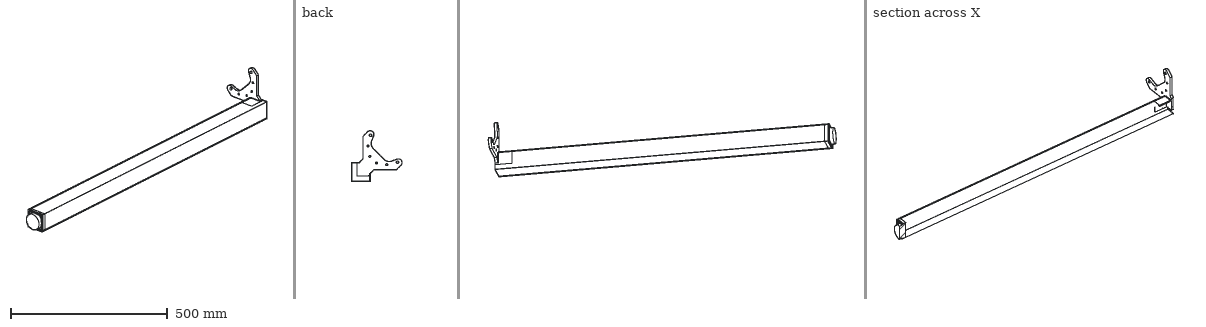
import cadquery as cq
import math

total_length = 1100.0
tube_side = 60.0
wall = 2.0
half_side = tube_side / 2
inner_side = tube_side - 2 * wall

foot_height = 11.0
foot_diameter = 54.0
flange_thickness = 4.0
recess_side = 51.0
recess_depth = 3.0
foot_plug_length = 11.0
tube_length = total_length - foot_height - flange_thickness

plate_thickness = 9.0
angle_length = 55.0
angle_leg = 41.0
angle_thickness = 4.0
overall_width = 162.0
lobe_radius = 12.0
lobe_far = overall_width - half_side - lobe_radius
lobe_near = 30.0
arm_edge = 7.0
neck_start = 42.0
web_corner_far = 85.0
web_corner_near = 30.0
web_fillet = 22.0
tip_hole_diameter = 8.0
screw_hole_diameter = 5.0
tip_hole = (31.0, 117.0)
screw_holes = [(23.0, 82.0), (29.0, 50.0)]

notch_depth = 12.0
notch_reach = 37.0


def box_along_y(side, front, back):
    """Square bar on the leg axis between Y = front and Y = back."""
    return cq.Workplane("XY").box(side, back - front, side).translate((0, (front + back) / 2, 0))


def make_tube():
    tube = box_along_y(tube_side, -tube_length, 0).cut(box_along_y(inner_side, -tube_length, 0))
    notch = cq.Workplane("XY").box(notch_reach, notch_depth, notch_reach).translate(
        (-half_side + notch_reach / 2, -notch_depth / 2, half_side - notch_reach / 2)
    )
    return tube.cut(notch)


def mirrored(point):
    """Reflect an (X, Z) point across the diagonal that the two arms share."""
    x, z = point
    return (-z, -x)


def make_plate():
    """Two-armed plate, symmetric about the diagonal through the leg axis."""
    lobe = (-lobe_near, lobe_far)
    diagonal = lobe_radius / math.sqrt(2)
    web_corner = (-web_corner_near, web_corner_far)

    outer_tangent = (lobe[0] + diagonal, lobe[1] + diagonal)
    arm_corner = (-arm_edge, sum(outer_tangent) + arm_edge)

    to_corner = math.atan2(web_corner[1] - lobe[1], web_corner[0] - lobe[0])
    corner_distance = math.dist(lobe, web_corner)
    tangent_angle = to_corner - math.acos(lobe_radius / corner_distance)
    inner_tangent = (
        lobe[0] + lobe_radius * math.cos(tangent_angle),
        lobe[1] + lobe_radius * math.sin(tangent_angle),
    )
    lobe_tip = (lobe[0] - diagonal, lobe[1] + diagonal)

    neck = (-arm_edge, neck_start)
    neck_end = (neck_start - arm_edge - half_side + wall, half_side - wall)
    plate = (
        cq.Workplane("XZ")
        .moveTo(*neck_end)
        .lineTo(*neck)
        .lineTo(*arm_corner)
        .lineTo(*outer_tangent)
        .threePointArc(lobe_tip, inner_tangent)
        .lineTo(*web_corner)
        .lineTo(*mirrored(web_corner))
        .lineTo(*mirrored(inner_tangent))
        .threePointArc(mirrored(lobe_tip), mirrored(outer_tangent))
        .lineTo(*mirrored(arm_corner))
        .lineTo(*mirrored(neck))
        .lineTo(*mirrored(neck_end))
        .close()
        .extrude(plate_thickness)
    )
    for x, z in (web_corner, mirrored(web_corner)):
        corner_edge = cq.selectors.NearestToPointSelector((x, -plate_thickness / 2, z))
        plate = plate.edges("|Y").edges(corner_edge).fillet(web_fillet)

    for points, diameter in (([tip_hole], tip_hole_diameter), (screw_holes, screw_hole_diameter)):
        upper_arm = [(-across, along) for across, along in points]
        both_arms = upper_arm + [mirrored(point) for point in upper_arm]
        holes = cq.Workplane("XZ").pushPoints(both_arms).circle(diameter / 2).extrude(plate_thickness)
        plate = plate.cut(holes)
    return plate


def make_corner_block(leg, length, inset=0.0):
    """Square block in the tube's -X, +Z inner corner, starting at Y = 0."""
    offset = inner_side / 2 - inset - leg / 2
    return cq.Workplane("XY").box(leg, length, leg).translate((-offset, -length / 2, offset))


def make_bracket():
    """Plate, its foot inside the tube, and the L-shaped angle behind it."""
    angle = make_corner_block(angle_leg, angle_length).cut(
        make_corner_block(angle_leg - angle_thickness, angle_length, inset=angle_thickness)
    )
    plate_foot = make_corner_block(angle_leg, plate_thickness)
    return make_plate().union(plate_foot).union(angle)


def make_foot():
    """End cap: plug inside the tube, flange recessed at its corners, and round pad."""
    flange_front = -tube_length - flange_thickness
    flange = box_along_y(tube_side, flange_front, -tube_length)
    recess_floor = flange_front + recess_depth
    flange = flange.cut(box_along_y(recess_side, flange_front, recess_floor))
    plug = box_along_y(inner_side, -tube_length, -tube_length + foot_plug_length)
    pad = (
        cq.Workplane("XZ", origin=(0, recess_floor, 0))
        .circle(foot_diameter / 2)
        .extrude(foot_height + recess_depth)
    )
    return flange.union(plug).union(pad)


tube = make_tube()
bracket = make_bracket()
foot = make_foot()

result = cq.Compound.makeCompound([tube.val(), bracket.val(), foot.val()])